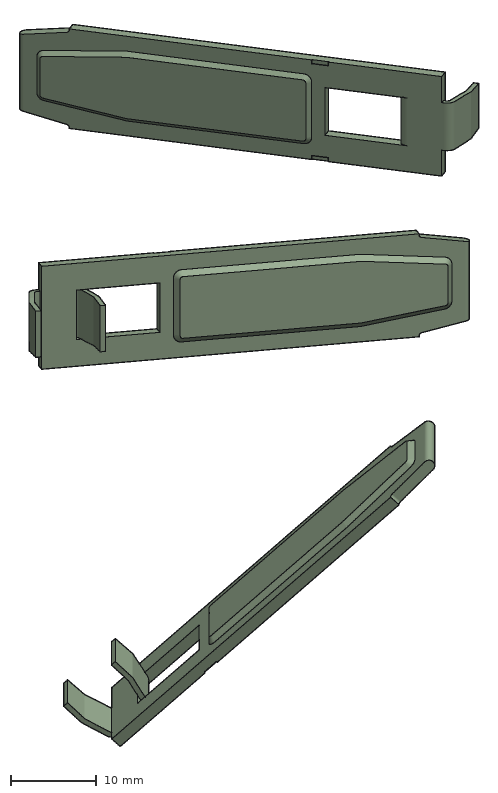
import cadquery as cq
import math

TOTAL_LENGTH = 54.3
PLATE_LENGTH = 52.0
PLATE_HEIGHT = 12.7
FRONT_FACE = -0.75
REAR_FACE = 0.65
NOSE_HEIGHT = 9.6
NOSE_TAPER = 10.2
SHOULDER_X = 6.25
SHOULDER_FILLET = 0.3
NOSE_FILLET = 0.65

PAD_LEFT = 2.3
PAD_RIGHT = 36.05
PAD_TAPER_END = 13.4
PAD_LEFT_HEIGHT = 6.2
PAD_HEIGHT = 8.9
PAD_HALF_THICKNESS = 1.3
PAD_CORNER = 1.0

RECESS_LEFT = 36.05
RECESS_LENGTH = 2.0
RECESS_HEIGHT = 0.5
RECESS_DEPTH = 0.1

WINDOW_LEFT = 37.7
WINDOW_RIGHT = 47.8
CLIP_HEIGHT = 6.1
CLIP_TIP_HEIGHT = 5.7
CLIP_THICKNESS = 0.65
CLIP_LEAN = 15.0
CLIP_BEND_START = 52.35
CLIP_BEND_RADIUS = 1.1
CLIP_TIP = 6.35
CLIP_TAPER_LENGTH = 4.25
CLIP_MIDDLE = (WINDOW_RIGHT + CLIP_BEND_START) / 2


def front_plane(y):
    """Sketch plane at the given Y, local axes X and Z, normal toward -Y."""
    return cq.Workplane("XZ", origin=(0, y, 0))


def make_plate():
    nose_half = NOSE_HEIGHT / 2
    half = PLATE_HEIGHT / 2
    shoulder = nose_half + SHOULDER_X * math.tan(math.radians(NOSE_TAPER))
    outline = [
        (0, -nose_half),
        (SHOULDER_X, -shoulder),
        (SHOULDER_X, -half),
        (PLATE_LENGTH, -half),
        (PLATE_LENGTH, half),
        (SHOULDER_X, half),
        (SHOULDER_X, shoulder),
        (0, nose_half),
    ]
    plate = front_plane(REAR_FACE).polyline(outline).close().extrude(REAR_FACE - FRONT_FACE)
    for z in (-shoulder, shoulder):
        corner = cq.selectors.NearestToPointSelector((SHOULDER_X, (FRONT_FACE + REAR_FACE) / 2, z))
        plate = plate.edges("|Y").edges(corner).fillet(SHOULDER_FILLET)
    return plate.faces("<X").edges("|Z").fillet(NOSE_FILLET)


def make_pad():
    left_half = PAD_LEFT_HEIGHT / 2
    half = PAD_HEIGHT / 2
    outline = [
        (PAD_LEFT, -left_half),
        (PAD_TAPER_END, -half),
        (PAD_RIGHT, -half),
        (PAD_RIGHT, half),
        (PAD_TAPER_END, half),
        (PAD_LEFT, left_half),
    ]
    pad = front_plane(PAD_HALF_THICKNESS).polyline(outline).close().extrude(2 * PAD_HALF_THICKNESS)
    pad = pad.edges("|Y and (<X or >X)").fillet(PAD_CORNER)
    pad = pad.faces("<Y").chamfer(FRONT_FACE + PAD_HALF_THICKNESS)
    return pad.faces(">Y").chamfer(PAD_HALF_THICKNESS - REAR_FACE)


def make_window():
    length = WINDOW_RIGHT - WINDOW_LEFT
    return cq.Workplane("XY").box(length, 2 * CLIP_TIP, CLIP_HEIGHT).translate(
        ((WINDOW_LEFT + WINDOW_RIGHT) / 2, 0, 0)
    )


def make_recess(side):
    """Recess at the upper (side = 1) or lower (side = -1) long edge."""
    return cq.Workplane("XY").box(RECESS_LENGTH, 2 * RECESS_DEPTH, 2 * RECESS_HEIGHT).translate(
        (RECESS_LEFT + RECESS_LENGTH / 2, FRONT_FACE, side * PLATE_HEIGHT / 2)
    )


def make_clip():
    """Right-hand clip: a strip bent toward +Y out of the front face, with a narrowing tip."""
    lean = math.radians(CLIP_LEAN)
    bend_y = FRONT_FACE + CLIP_BEND_RADIUS
    inner_radius = CLIP_BEND_RADIUS - CLIP_THICKNESS
    tip_inner_x = TOTAL_LENGTH - CLIP_THICKNESS

    def on_bend(radius, angle):
        """Point on the bend after turning by the given angle."""
        return (CLIP_BEND_START + radius * math.sin(angle), bend_y - radius * math.cos(angle))

    def kink_y(bend_end, tip_x):
        """Y where the leaning stretch meets the straight tip."""
        return bend_end[1] + (tip_x - bend_end[0]) / math.tan(lean)

    turn = math.pi / 2 - lean
    outer_end = on_bend(CLIP_BEND_RADIUS, turn)
    inner_end = on_bend(inner_radius, turn)
    strip = (
        cq.Workplane("XY", origin=(0, 0, -CLIP_HEIGHT / 2))
        .moveTo(CLIP_MIDDLE, FRONT_FACE)
        .lineTo(CLIP_BEND_START, FRONT_FACE)
        .threePointArc(on_bend(CLIP_BEND_RADIUS, turn / 2), outer_end)
        .lineTo(TOTAL_LENGTH, kink_y(outer_end, TOTAL_LENGTH))
        .lineTo(TOTAL_LENGTH, CLIP_TIP)
        .lineTo(tip_inner_x, CLIP_TIP)
        .lineTo(tip_inner_x, kink_y(inner_end, tip_inner_x))
        .lineTo(*inner_end)
        .threePointArc(on_bend(inner_radius, turn / 2), on_bend(inner_radius, 0))
        .lineTo(CLIP_MIDDLE, FRONT_FACE + CLIP_THICKNESS)
        .close()
        .extrude(CLIP_HEIGHT)
    )
    half = CLIP_HEIGHT / 2
    tip_half = CLIP_TIP_HEIGHT / 2
    taper_y = CLIP_TIP - CLIP_TAPER_LENGTH
    side_outline = [
        (FRONT_FACE, -half),
        (taper_y, -half),
        (CLIP_TIP, -tip_half),
        (CLIP_TIP, tip_half),
        (taper_y, half),
        (FRONT_FACE, half),
    ]
    envelope = cq.Workplane("YZ").polyline(side_outline).close().extrude(TOTAL_LENGTH)
    return strip.intersect(envelope)


right_clip = make_clip()
left_clip = right_clip.mirror("YZ", (CLIP_MIDDLE, 0, 0))

result = make_plate().union(make_pad()).cut(make_window())
for side in (-1, 1):
    result = result.cut(make_recess(side))
result = result.union(right_clip).union(left_clip)